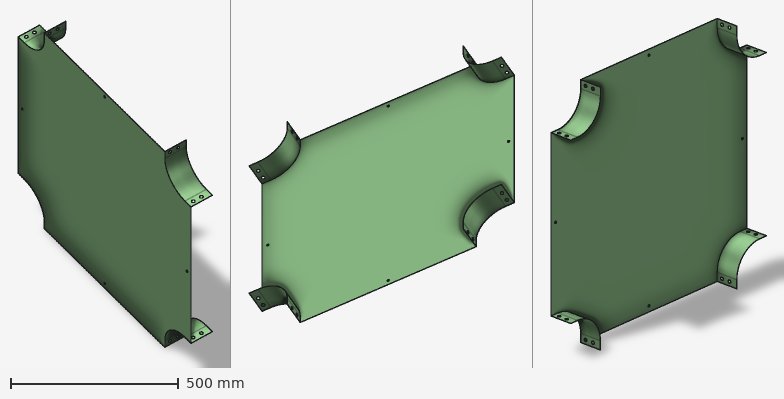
import cadquery as cq

SIZE = 860.0
DEPTH = 80.0
THICKNESS = 0.8
NOTCH = 130.0
TAB_LENGTH = 30.0
NOTCH_RADIUS = NOTCH - TAB_LENGTH

FACE_HOLE_DIAMETER = 7.0
FACE_HOLE_INSET = 20.0

TAB_HOLE_DIAMETER = 10.0
TAB_HOLE_INSET = 15.0
TAB_HOLE_DEPTHS = (20.0, 50.0)

HALF = SIZE / 2
NOTCH_EDGE = HALF - NOTCH
CORNER_COUNT = 4


def corner_notch(offset):
    """Solid filling the +X +Z notch, its inner boundary moved toward the center by offset."""
    near = NOTCH_EDGE - offset
    arc_end = HALF - TAB_LENGTH
    radius = NOTCH_RADIUS + offset
    return (
        cq.Workplane("XZ")
        .moveTo(near, HALF)
        .lineTo(near, arc_end)
        .radiusArc((arc_end, near), -radius)
        .lineTo(HALF, near)
        .lineTo(HALF, HALF)
        .close()
        .extrude(-DEPTH)
    )


def tab_hole_cutters():
    """Cylinders crossing the two flat tabs of the +X +Z flange."""
    hole_place = HALF - TAB_HOLE_INSET
    cutter_start = NOTCH_EDGE - TAB_LENGTH
    cutter_length = 2 * TAB_LENGTH
    radius = TAB_HOLE_DIAMETER / 2
    cutters = []
    for depth in TAB_HOLE_DEPTHS:
        side_tab_start = cq.Vector(hole_place, depth, cutter_start)
        end_tab_start = cq.Vector(cutter_start, depth, hole_place)
        cutters.append(cq.Solid.makeCylinder(radius, cutter_length, side_tab_start, cq.Vector(0, 0, 1)))
        cutters.append(cq.Solid.makeCylinder(radius, cutter_length, end_tab_start, cq.Vector(1, 0, 0)))
    return cutters


def corner_flange():
    """Flange of the +X +Z corner: straight tab, quarter bend, straight tab."""
    flange = corner_notch(THICKNESS).cut(corner_notch(0))
    for cutter in tab_hole_cutters():
        flange = flange.cut(cq.Workplane(cutter))
    return flange


def around_corners(shape):
    """Copies of a +X +Z corner shape at all four corners."""
    step = 360 / CORNER_COUNT
    return [shape.rotate((0, 0, 0), (0, 1, 0), step * turn) for turn in range(CORNER_COUNT)]


def face_plate():
    """Flat front sheet with notched corners and a hole at the middle of each edge."""
    hole_place = HALF - FACE_HOLE_INSET
    plate = (
        cq.Workplane("XZ")
        .rect(SIZE, SIZE)
        .polarArray(hole_place, 0, 360, CORNER_COUNT)
        .circle(FACE_HOLE_DIAMETER / 2)
        .extrude(-THICKNESS)
    )
    for notch in around_corners(corner_notch(0)):
        plate = plate.cut(notch)
    return plate


result = face_plate()
for flange in around_corners(corner_flange()):
    result = result.union(flange)